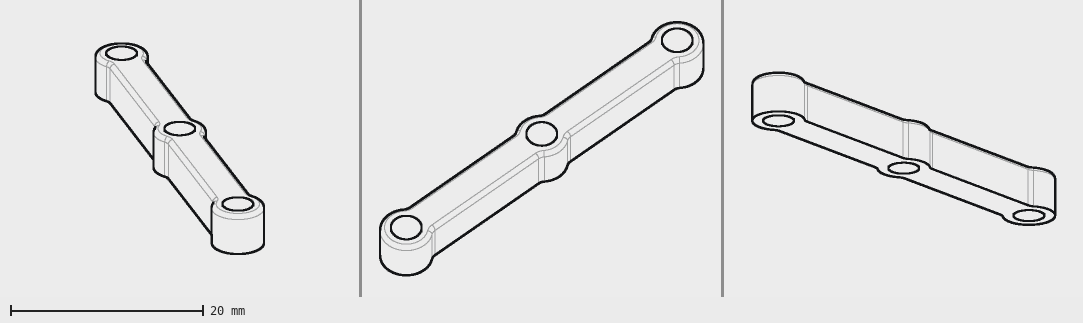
import cadquery as cq

length = 43.5
boss_diameter = 5.5
hole_diameter = 3.2
bar_width = 4.0
height = 4.5
neck_radius = 1.0
top_edge_radius = 0.5

pitch = (length - boss_diameter) / 2
boss_centers = [(-pitch, 0), (0, 0), (pitch, 0)]


def make_body():
    """Straight bar joining three round bosses, with blended necks."""
    bar = cq.Workplane("XY").box(2 * pitch, bar_width, height, centered=(True, True, False))
    bosses = cq.Workplane("XY").pushPoints(boss_centers).circle(boss_diameter / 2).extrude(height)
    return bar.union(bosses).edges("|Z and (not <X) and (not >X)").fillet(neck_radius)


def round_top_edge(body):
    """Round the outer top rim; the holes are cut later and stay sharp."""
    return body.faces(">Z").edges().fillet(top_edge_radius)


def cut_holes(body):
    """Through hole on the axis of every boss."""
    holes = cq.Workplane("XY").pushPoints(boss_centers).circle(hole_diameter / 2).extrude(height)
    return body.cut(holes)


result = cut_holes(round_top_edge(make_body()))